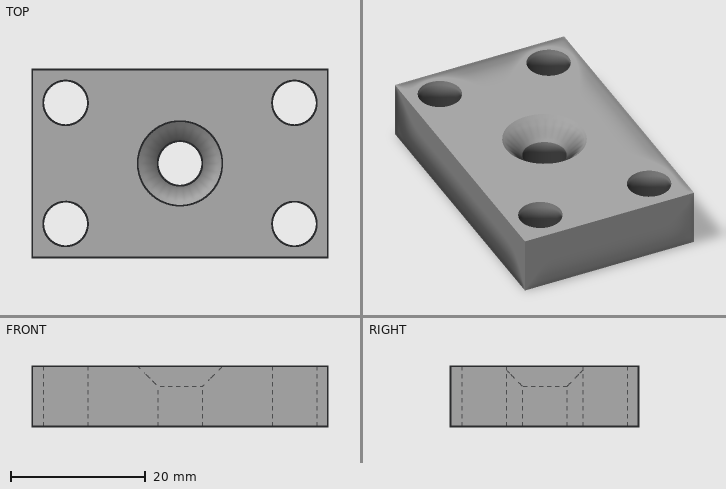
import cadquery as cq

length = 44.0
width = 28.0
height = 9.0

hole_diameter = 6.6
hole_spacing_x = 34.0
hole_spacing_y = 18.0

countersink_diameter = 12.6
countersink_angle = 90.0

block = cq.Workplane("XY").box(length, width, height)

drilled_block = (
    block.faces(">Z")
    .workplane()
    .rect(hole_spacing_x, hole_spacing_y, forConstruction=True)
    .vertices()
    .hole(hole_diameter)
)

result = (
    drilled_block.faces(">Z")
    .workplane(origin=(0, 0, 0))
    .cskHole(hole_diameter, countersink_diameter, countersink_angle)
)